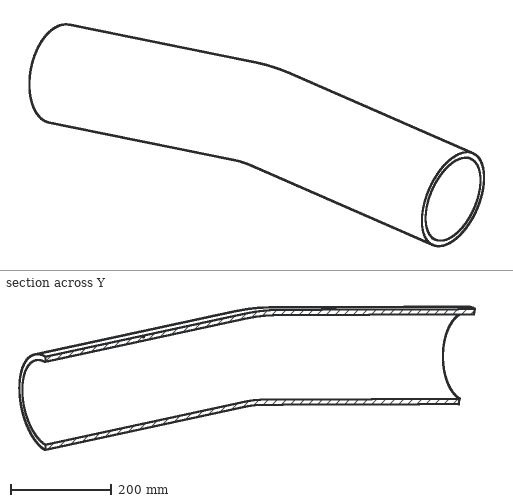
import cadquery as cq
import math

outer_diameter = 200.0
bore_diameter = 176.2
leg_length = 467.0
bend_radius = 300.0
bend_angle = 11.0

angle = math.radians(bend_angle)
half_angle = angle / 2
bend_end_x = leg_length + bend_radius * math.sin(angle)
bend_end_z = -bend_radius * (1 - math.cos(angle))
bend_middle = (
    leg_length + bend_radius * math.sin(half_angle),
    -bend_radius * (1 - math.cos(half_angle)),
)
outlet = (
    bend_end_x + leg_length * math.cos(angle),
    bend_end_z - leg_length * math.sin(angle),
)


def pipe_centreline():
    """Straight leg, tangent bend, straight leg in the XZ plane."""
    return (
        cq.Workplane("XZ")
        .lineTo(leg_length, 0)
        .threePointArc(bend_middle, (bend_end_x, bend_end_z))
        .lineTo(*outlet)
    )


def bent_pipe():
    """Ring section swept along the centreline, leaving an open bore."""
    ring = cq.Workplane("YZ").circle(outer_diameter / 2).circle(bore_diameter / 2)
    return ring.sweep(pipe_centreline())


result = bent_pipe()